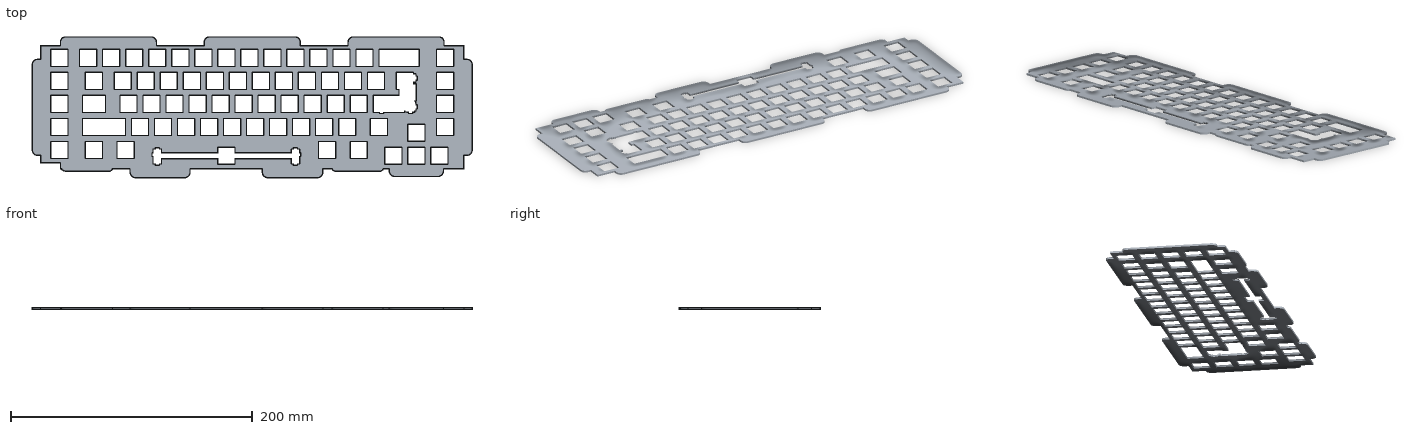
import cadquery as cq


THICKNESS = 1.6
LENGTH = 364.13
WIDTH = 116.75

KEY_PITCH = 19.05
SWITCH_SIZE = 14.0
LAST_COLUMN_U = 16.75
FIRST_COLUMN_X = -LAST_COLUMN_U * KEY_PITCH / 2
TOP_ROW_Y = 40.9

DIGIT_ROW, UPPER_ROW, HOME_ROW, LOWER_ROW, BOTTOM_ROW = range(5)
ARROW_DROP_ROWS = 0.25
ARROW_ROW = BOTTOM_ROW + ARROW_DROP_ROWS
UP_ARROW_ROW = LOWER_ROW + ARROW_DROP_ROWS
TALL_ENTER_ROW = (UPPER_ROW + HOME_ROW) / 2

BODY_LENGTH = 350.0
BODY_TOP_Y = 51.0
BODY_BOTTOM_Y = -51.0
WING_WIDTH = 79.6
WING_RADIUS = 4.5
TOP_TAB_RADIUS = 4.5
BOTTOM_TAB_RADIUS = 5.0
TAB_OVERLAP = 10.0
TOP_TAB_LENGTH = 79.6
TOP_TAB_SPACING = 119.0
END_TAB_X = TOP_TAB_SPACING + TOP_TAB_LENGTH / 2
LEFT_NOTCH_DEPTH = 5.0
DEEP_TAB_SPANS = [(-101.2, -51.3), (8.2, 58.5)]
LEFT_SHALLOW_TAB_SPAN = (-END_TAB_X, -115.5)
RIGHT_SHALLOW_TAB_SPAN = (66.0, 108.5)
SHALLOW_TAB_Y = -53.0
SHALLOW_TAB_RADIUS = 3.0
ARROW_TAB_SPAN = (113.2, 158.3)
ARROW_TAB_Y = -57.4

STAB_BODY_WIDTH = 6.75
STAB_BODY_TOP = 5.53
STAB_BODY_BOTTOM = -6.77
STAB_CLIP_WIDTH = 3.3
STAB_CLIP_TOP = 6.45
STAB_CLIP_BOTTOM = -7.75
STAB_SIDE_REACH = 4.2
STAB_SIDE_TOP = 2.3
STAB_SIDE_BOTTOM = -0.5
SHORT_STAB_OFFSET = 11.94
SHORT_STAB_CHANNEL = 9.46
SPACE_STAB_OFFSET = 57.15
SPACE_STAB_CHANNEL = 4.6

DIGIT_START_U, DIGIT_COUNT = 1.25, 13
UPPER_START_U, UPPER_COUNT = 2.75, 12
HOME_START_U, HOME_COUNT = 3.0, 11
LOWER_START_U, LOWER_COUNT = 3.5, 10
BACKSPACE_SPAN_U = (14.25, 15.25)
TAB_KEY_U = 1.5
CAPS_SPAN_U = (1.375, 1.625)
LEFT_SHIFT_SPAN_U = (1.375, 2.5)
RIGHT_SHIFT_U = 13.875
BOTTOM_KEYS_U = [1.5, 2.875, 11.625, 13.0]
BACKSLASH_U = 15.0
HASH_KEY_U = 14.0
WIDE_ENTER_U = 14.625
TALL_ENTER_U = 15.125
SPACE_U = 7.25
UP_ARROW_U = 15.5
ARROW_KEYS_U = [UP_ARROW_U - 1, UP_ARROW_U, UP_ARROW_U + 1]


def block(x_min, x_max, y_min, y_max):
    """Full-thickness box between the given limits."""
    return cq.Workplane("XY").box(
        x_max - x_min, y_max - y_min, THICKNESS, centered=False
    ).translate((x_min, y_min, 0))


def key_x(u):
    return FIRST_COLUMN_X + u * KEY_PITCH


def row_y(row):
    return TOP_ROW_Y - row * KEY_PITCH


def top_tab(x_center):
    tab = block(
        x_center - TOP_TAB_LENGTH / 2,
        x_center + TOP_TAB_LENGTH / 2,
        BODY_TOP_Y - TAB_OVERLAP,
        WIDTH / 2,
    )
    return tab.edges("|Z and >Y").fillet(TOP_TAB_RADIUS)


def bottom_tab(span, y_min, left_radius, right_radius):
    tab = block(span[0], span[1], y_min, BODY_BOTTOM_Y + TAB_OVERLAP)
    tab = tab.edges("|Z").edges("<X").edges("<Y").fillet(left_radius)
    return tab.edges("|Z").edges(">X").edges("<Y").fillet(right_radius)


def make_plate():
    body = block(-BODY_LENGTH / 2, BODY_LENGTH / 2, BODY_BOTTOM_Y, BODY_TOP_Y)
    left_notch = block(
        -BODY_LENGTH / 2, -END_TAB_X, BODY_BOTTOM_Y, BODY_BOTTOM_Y + LEFT_NOTCH_DEPTH
    )
    body = body.cut(left_notch)
    wings = block(-LENGTH / 2, LENGTH / 2, -WING_WIDTH / 2, WING_WIDTH / 2)
    body = body.union(wings.edges("|Z").fillet(WING_RADIUS))
    for x_center in (-TOP_TAB_SPACING, 0, TOP_TAB_SPACING):
        body = body.union(top_tab(x_center))
    tabs = [(span, -WIDTH / 2, BOTTOM_TAB_RADIUS, BOTTOM_TAB_RADIUS) for span in DEEP_TAB_SPANS]
    tabs += [
        (LEFT_SHALLOW_TAB_SPAN, SHALLOW_TAB_Y, BOTTOM_TAB_RADIUS, SHALLOW_TAB_RADIUS),
        (RIGHT_SHALLOW_TAB_SPAN, SHALLOW_TAB_Y, SHALLOW_TAB_RADIUS, SHALLOW_TAB_RADIUS),
        (ARROW_TAB_SPAN, ARROW_TAB_Y, BOTTOM_TAB_RADIUS, BOTTOM_TAB_RADIUS),
    ]
    for span, y_min, left_radius, right_radius in tabs:
        body = body.union(bottom_tab(span, y_min, left_radius, right_radius))
    return body


def switch_hole(u, row):
    return slot_hole((u, u), row)


def slot_hole(span_u, row):
    """Hole that lets a switch sit anywhere between two key positions."""
    half = SWITCH_SIZE / 2
    y = row_y(row)
    return block(key_x(span_u[0]) - half, key_x(span_u[1]) + half, y - half, y + half)


def stabilizer_holes(offset, channel_width):
    """Pair of stabilizer holes joined by a wire channel, for a key centred on the origin."""
    holes = block(-offset, offset, -channel_width / 2, channel_width / 2)
    for side in (-1, 1):
        x = side * offset
        body_half = STAB_BODY_WIDTH / 2
        clip_half = STAB_CLIP_WIDTH / 2
        side_x = sorted((x, x + side * STAB_SIDE_REACH))
        holes = holes.union(block(x - body_half, x + body_half, STAB_BODY_BOTTOM, STAB_BODY_TOP))
        holes = holes.union(block(x - clip_half, x + clip_half, STAB_CLIP_BOTTOM, STAB_CLIP_TOP))
        holes = holes.union(block(side_x[0], side_x[1], STAB_SIDE_BOTTOM, STAB_SIDE_TOP))
    return holes


def key_grid_holes():
    holes = [switch_hole(0, row) for row in range(DIGIT_ROW, BOTTOM_ROW + 1)]
    holes += [switch_hole(LAST_COLUMN_U, row) for row in range(DIGIT_ROW, LOWER_ROW + 1)]
    runs = [
        (DIGIT_ROW, DIGIT_START_U, DIGIT_COUNT),
        (UPPER_ROW, UPPER_START_U, UPPER_COUNT),
        (HOME_ROW, HOME_START_U, HOME_COUNT),
        (LOWER_ROW, LOWER_START_U, LOWER_COUNT),
    ]
    for row, start_u, count in runs:
        holes += [switch_hole(start_u + i, row) for i in range(count)]
    return holes


def modifier_holes():
    holes = [
        slot_hole(BACKSPACE_SPAN_U, DIGIT_ROW),
        switch_hole(TAB_KEY_U, UPPER_ROW),
        slot_hole(CAPS_SPAN_U, HOME_ROW),
        slot_hole(LEFT_SHIFT_SPAN_U, LOWER_ROW),
        switch_hole(RIGHT_SHIFT_U, LOWER_ROW),
    ]
    holes += [switch_hole(u, BOTTOM_ROW) for u in BOTTOM_KEYS_U]
    return holes


def arrow_holes():
    holes = [switch_hole(u, ARROW_ROW) for u in ARROW_KEYS_U]
    holes.append(switch_hole(UP_ARROW_U, UP_ARROW_ROW))
    return holes


def enter_holes():
    """Overlapping holes for a wide Enter, a tall Enter and the keys beside them."""
    stabilizers = stabilizer_holes(SHORT_STAB_OFFSET, SHORT_STAB_CHANNEL)
    upright = stabilizers.rotate((0, 0, 0), (0, 0, 1), 90)
    return [
        switch_hole(BACKSLASH_U, UPPER_ROW),
        switch_hole(HASH_KEY_U, HOME_ROW),
        switch_hole(WIDE_ENTER_U, HOME_ROW),
        switch_hole(TALL_ENTER_U, TALL_ENTER_ROW),
        stabilizers.translate((key_x(WIDE_ENTER_U), row_y(HOME_ROW), 0)),
        upright.translate((key_x(TALL_ENTER_U), row_y(TALL_ENTER_ROW), 0)),
    ]


def space_holes():
    stabilizers = stabilizer_holes(SPACE_STAB_OFFSET, SPACE_STAB_CHANNEL)
    return [
        switch_hole(SPACE_U, ARROW_ROW),
        stabilizers.translate((key_x(SPACE_U), row_y(ARROW_ROW), 0)),
    ]


holes = key_grid_holes() + modifier_holes() + arrow_holes() + enter_holes() + space_holes()
hole_solids = [hole.val() for hole in holes]
result = cq.Workplane(make_plate().val().cut(*hole_solids).Solids()[0])